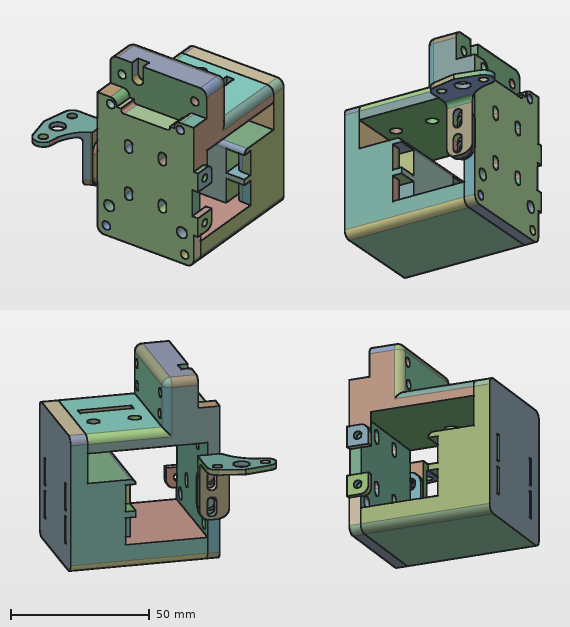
import cadquery as cq
import math


OVERALL_WIDTH = 65.7

WIDTH = 42.9
HALF_WIDTH = WIDTH / 2
DEPTH = 56.0
HEIGHT = 71.0
CORNER_R = 3.0

PLATE_THICKNESS = 4.6
RISER_DEPTH = 21.0
DECK_TOP = 52.1
DECK_UNDERSIDE = 45.45
COVER_DEPTH = 49.6
STEP_DEPTH = 8.05
LEDGE_Z = 59.1
LEDGE_HALF_GAP = 12.8
SHELF_Z = 55.9
SHELF_HALF_GAP = 10.9
TROUGH_Z = 54.15
TROUGH_R = 1.25

SCREW_D = 3.5
INSERT_D = 4.6
RISER_HOLE = (16.2, 64.45)
LEDGE_HOLE = (15.5, 56.1)
ACCESS_HOLE = (16.2, 12.9)
FOOT_HOLE = (17.5, 4.1)
PLATE_SLOT_X = 7.5
PLATE_SLOT_ZS = (21.05, 41.0)
PLATE_SLOT_LENGTH = 5.4
PLATE_SLOT_WIDTH = 3.4

NOTCH_X = -9.3
NOTCH_WIDTH = 5.0
NOTCH_BOTTOM = 62.55
NOTCH_DEPTH = 3.7

DECK_HOLE_X = -6.5
DECK_HOLE_YS = (27.85, 43.3)
DECK_SLOT_X = 5.0
DECK_SLOT_WIDTH = 3.2
DECK_SLOT_FRONT = 25.6
DECK_SLOT_BACK = 45.7
DECK_SLOT_DEPTH = 4.0

SIDE_REACH = 2.0
BOSS_FACE_X = -HALF_WIDTH - SIDE_REACH
TAB_FACE_X = HALF_WIDTH + SIDE_REACH
BOSS_Y = 4.3
BOSS_R = 4.45
BOSS_Z = 27.5
SCREW_PITCH = 10.0
BRACKET_SCREWS = [(BOSS_Y, BOSS_Z - SCREW_PITCH / 2), (BOSS_Y, BOSS_Z + SCREW_PITCH / 2)]
TAB_DEPTH = 8.55
TAB_HEIGHT = 7.9
TAB_GAP = 11.0
TAB_MID_Z = 27.0
TAB_HOLE_D = 3.0
RIB_THICKNESS = 0.65
RIB_INNER_X = HALF_WIDTH - RIB_THICKNESS
TAB_GAP_BOTTOM = TAB_MID_Z - TAB_GAP / 2
TAB_GAP_TOP = TAB_MID_Z + TAB_GAP / 2

FLOOR_TOP = 9.05
BLOCK_FRONT = 31.5
BLOCK_TOP = 34.0
BLOCK_EDGE_R = 2.0
POCKET_BACK = 35.4
POCKET_INNER_X = 13.3
BELT_SLOT_OUTER_X = 14.75
POCKET_SPANS = ((FLOOR_TOP, 19.4), (21.8, 32.0))

FLANGE_TOP = 41.5
FLANGE_THICKNESS = 2.0
FOOT_THICKNESS = 3.0
FOOT_BOTTOM = 17.55
FOOT_CORNER_R = 3.7
BEND_R = 2.0
EAR_R = 4.0
EAR_X = -36.2
EAR_MID_Y = -4.1
EAR_PITCH = 9.0
CENTRE_HOLE_D = 6.0
TIP_X = TAB_FACE_X - OVERALL_WIDTH
SLOT_LENGTH = 7.4

HOLLOW_EAR_END = (-32.4, -14.6)
HOLLOW_START = (-31.65, -10.4)
HOLLOW_MIDDLE = (-28.7, -4.7)
HOLLOW_END = (-24.25, -0.6)
HOLLOW_CORNER_Y = -0.3


def box(x0, x1, y0, y1, z0, z1):
    """Box between two opposite corners."""
    return cq.Workplane("XY").box(x1 - x0, y1 - y0, z1 - z0, centered=False).translate((x0, y0, z0))


def y_cylinders(points, diameter, y0, y1):
    """Cylinders along Y at (x, z) points, from y0 to y1."""
    plane = cq.Workplane("XZ", origin=(0, y0, 0))
    return plane.pushPoints(points).circle(diameter / 2).extrude(y0 - y1)


def x_cylinders(points, diameter, x0, x1):
    """Cylinders along X at (y, z) points, from x0 to x1."""
    return cq.Workplane("YZ", origin=(x0, 0, 0)).pushPoints(points).circle(diameter / 2).extrude(x1 - x0)


def mirrored_pair(point):
    """An (x, z) point and its mirror image across the middle of the housing."""
    x, z = point
    return [(-x, z), (x, z)]


def step_cut():
    """Material removed in front of the riser: two ledges, two small shelves and a trough between them."""
    bulge = CORNER_R * (1 - math.sqrt(0.5))
    dip = TROUGH_R * (1 - math.sqrt(0.5))
    outline = (
        cq.Workplane("XZ")
        .moveTo(0, HEIGHT)
        .lineTo(HALF_WIDTH, HEIGHT)
        .lineTo(HALF_WIDTH, LEDGE_Z)
        .lineTo(LEDGE_HALF_GAP + CORNER_R, LEDGE_Z)
        .threePointArc(
            (LEDGE_HALF_GAP + bulge, LEDGE_Z - bulge),
            (LEDGE_HALF_GAP, LEDGE_Z - CORNER_R),
        )
        .lineTo(LEDGE_HALF_GAP, SHELF_Z)
        .lineTo(SHELF_HALF_GAP, SHELF_Z)
        .lineTo(SHELF_HALF_GAP, TROUGH_Z + TROUGH_R)
        .threePointArc(
            (SHELF_HALF_GAP - dip, TROUGH_Z + dip),
            (SHELF_HALF_GAP - TROUGH_R, TROUGH_Z),
        )
        .lineTo(0, TROUGH_Z)
        .close()
    )
    half = outline.extrude(-STEP_DEPTH)
    return half.union(half.mirror("YZ"))


def cable_notch():
    """Round-bottomed notch in the riser's front face, open at the top."""
    radius = NOTCH_WIDTH / 2
    centre_z = NOTCH_BOTTOM + radius
    back = STEP_DEPTH + NOTCH_DEPTH
    channel = box(NOTCH_X - radius, NOTCH_X + radius, STEP_DEPTH, back, centre_z, HEIGHT)
    return channel.union(y_cylinders([(NOTCH_X, centre_z)], NOTCH_WIDTH, STEP_DEPTH, back))


def side_boss():
    """Obround boss on the -X side that carries the bracket, with two insert holes."""
    boss = (
        cq.Workplane("YZ", origin=(-HALF_WIDTH, 0, 0))
        .center(BOSS_Y, BOSS_Z)
        .slot2D(SCREW_PITCH + 2 * BOSS_R, 2 * BOSS_R, 90)
        .extrude(-SIDE_REACH)
    )
    return boss.cut(x_cylinders(BRACKET_SCREWS, INSERT_D, BOSS_FACE_X, -HALF_WIDTH))


def side_tabs():
    """Two tabs on the +X side, on a thin rib that hangs from the deck, without their holes."""
    low = box(RIB_INNER_X, TAB_FACE_X, 0, TAB_DEPTH, TAB_GAP_BOTTOM - TAB_HEIGHT, TAB_GAP_BOTTOM)
    low = low.edges("|X and >Y and <Z").fillet(CORNER_R)
    high = box(RIB_INNER_X, TAB_FACE_X, 0, TAB_DEPTH, TAB_GAP_TOP, TAB_GAP_TOP + TAB_HEIGHT)
    high = high.edges("|X and >Y and >Z").fillet(CORNER_R)
    rib = box(RIB_INNER_X, HALF_WIDTH, 0, TAB_DEPTH, TAB_GAP_TOP, DECK_UNDERSIDE)
    return low.union(high).union(rib)


def side_tab_cuts():
    """Recess in the plate edge between the tabs, and the tab screw holes."""
    recess = box(RIB_INNER_X, HALF_WIDTH, 0, TAB_DEPTH, TAB_GAP_BOTTOM, TAB_GAP_TOP)
    hole_y = TAB_DEPTH / 2
    holes = [(hole_y, TAB_GAP_BOTTOM - TAB_HEIGHT / 2), (hole_y, TAB_GAP_TOP + TAB_HEIGHT / 2)]
    return recess.union(x_cylinders(holes, TAB_HOLE_D, RIB_INNER_X, TAB_FACE_X))


def make_cover():
    """Front plate, riser and deck in one piece."""
    riser = box(-HALF_WIDTH, HALF_WIDTH, 0, RISER_DEPTH, 0, HEIGHT)
    riser = riser.edges("|Y or >Y").fillet(CORNER_R)
    deck = box(-HALF_WIDTH, HALF_WIDTH, 0, COVER_DEPTH, DECK_UNDERSIDE, DECK_TOP)
    deck = deck.edges("|Y and >Z").fillet(CORNER_R)
    hollow = box(-HALF_WIDTH, HALF_WIDTH, PLATE_THICKNESS, COVER_DEPTH, 0, DECK_UNDERSIDE)
    cover = riser.union(deck).cut(hollow).cut(step_cut()).cut(cable_notch())

    screw_holes = mirrored_pair(RISER_HOLE) + mirrored_pair(LEDGE_HOLE) + mirrored_pair(FOOT_HOLE)
    cover = cover.cut(y_cylinders(screw_holes, SCREW_D, 0, RISER_DEPTH))
    cover = cover.cut(y_cylinders(mirrored_pair(ACCESS_HOLE), INSERT_D, 0, PLATE_THICKNESS))

    slot_centres = [(x, z) for x in (-PLATE_SLOT_X, PLATE_SLOT_X) for z in PLATE_SLOT_ZS]
    plate_slots = (
        cq.Workplane("XZ")
        .pushPoints(slot_centres)
        .slot2D(PLATE_SLOT_LENGTH, PLATE_SLOT_WIDTH, 90)
        .extrude(-PLATE_THICKNESS)
    )
    deck_holes = (
        cq.Workplane("XY", origin=(0, 0, DECK_UNDERSIDE))
        .pushPoints([(DECK_HOLE_X, y) for y in DECK_HOLE_YS])
        .circle(INSERT_D / 2)
        .extrude(DECK_TOP - DECK_UNDERSIDE)
    )
    half_slot = DECK_SLOT_WIDTH / 2
    deck_slot = box(
        DECK_SLOT_X - half_slot, DECK_SLOT_X + half_slot,
        DECK_SLOT_FRONT, DECK_SLOT_BACK,
        DECK_TOP - DECK_SLOT_DEPTH, DECK_TOP,
    )
    cover = cover.cut(plate_slots).cut(deck_holes).cut(deck_slot)
    return cover.union(side_boss()).union(side_tabs()).cut(side_tab_cuts())


def belt_pocket(bottom, top):
    """Corner pocket on the -X side of the block, with a belt slot running on through the back."""
    pocket = box(-HALF_WIDTH, -POCKET_INNER_X, BLOCK_FRONT, POCKET_BACK, bottom, top)
    belt_slot = box(-BELT_SLOT_OUTER_X, -POCKET_INNER_X, POCKET_BACK, DEPTH, bottom, top)
    cutter = pocket.union(belt_slot)
    lip = cq.selectors.NearestToPointSelector((-BELT_SLOT_OUTER_X, POCKET_BACK, (bottom + top) / 2))
    return cutter.edges("|Z").edges(lip).fillet(CORNER_R)


def make_base():
    """Floor, belt block and back wall in one piece."""
    profile = (
        cq.Workplane("YZ", origin=(-HALF_WIDTH, 0, 0))
        .moveTo(PLATE_THICKNESS, 0)
        .lineTo(DEPTH, 0)
        .lineTo(DEPTH, DECK_TOP)
        .lineTo(COVER_DEPTH, DECK_TOP)
        .lineTo(COVER_DEPTH, BLOCK_TOP)
        .lineTo(BLOCK_FRONT + BLOCK_EDGE_R, BLOCK_TOP)
        .radiusArc((BLOCK_FRONT, BLOCK_TOP - BLOCK_EDGE_R), -BLOCK_EDGE_R)
        .lineTo(BLOCK_FRONT, FLOOR_TOP)
        .lineTo(PLATE_THICKNESS, FLOOR_TOP)
        .close()
    )
    base = profile.extrude(WIDTH)
    envelope = box(-HALF_WIDTH, HALF_WIDTH, 0, DEPTH, 0, DECK_TOP).edges("|Y").fillet(CORNER_R)
    base = base.intersect(envelope)
    for bottom, top in POCKET_SPANS:
        pocket = belt_pocket(bottom, top)
        base = base.cut(pocket).cut(pocket.mirror("YZ"))
    return base


def bracket_outline():
    """Plan outline of the bracket: two round ears, a pointed tip and a hollowed front edge."""
    rear_ear_y = EAR_MID_Y + EAR_PITCH
    front_ear_y = EAR_MID_Y - EAR_PITCH
    ear_dx = EAR_X - TIP_X
    tip_angle = math.atan2(EAR_PITCH, ear_dx)
    touch = math.acos(EAR_R / math.hypot(ear_dx, EAR_PITCH))
    angle = math.pi - tip_angle + touch
    touch_x = EAR_X + EAR_R * math.cos(angle)
    touch_dy = EAR_R * math.sin(angle)
    mid_angle = (angle + math.pi * 3 / 2) / 2
    mid_x = EAR_X + EAR_R * math.cos(mid_angle)
    mid_dy = EAR_R * math.sin(mid_angle)
    return (
        cq.Workplane("XY")
        .moveTo(BOSS_FACE_X, rear_ear_y + EAR_R)
        .lineTo(EAR_X, rear_ear_y + EAR_R)
        .threePointArc((mid_x, rear_ear_y - mid_dy), (touch_x, rear_ear_y - touch_dy))
        .lineTo(TIP_X, EAR_MID_Y)
        .lineTo(touch_x, front_ear_y + touch_dy)
        .threePointArc((EAR_X, front_ear_y - EAR_R), HOLLOW_EAR_END)
        .lineTo(*HOLLOW_START)
        .threePointArc(HOLLOW_MIDDLE, HOLLOW_END)
        .lineTo(BOSS_FACE_X, HOLLOW_CORNER_Y)
        .close()
    )


def make_bracket():
    """Angle bracket: a flange cut to the plan outline and a slotted foot against the boss."""
    front_x = BOSS_FACE_X - FOOT_THICKNESS
    rear_y = EAR_MID_Y + EAR_PITCH + EAR_R
    front_y = EAR_MID_Y - EAR_PITCH - EAR_R
    underside = FLANGE_TOP - FLANGE_THICKNESS

    outline = bracket_outline().extrude(FLANGE_TOP)
    flange = bracket_outline().extrude(FLANGE_THICKNESS).translate((0, 0, underside))

    foot = outline.intersect(box(front_x, BOSS_FACE_X, front_y, rear_y, FOOT_BOTTOM, underside))
    foot = foot.faces("<Z").edges("not |Y").fillet(FOOT_CORNER_R)

    bend = (
        cq.Workplane("XZ", origin=(0, rear_y, 0))
        .moveTo(front_x, underside)
        .lineTo(front_x, underside - BEND_R)
        .radiusArc((front_x - BEND_R, underside), -BEND_R)
        .close()
        .extrude(rear_y - front_y)
        .intersect(outline)
    )
    bracket = flange.union(foot).union(bend)

    ear_holes = [(EAR_X, EAR_MID_Y + side * EAR_PITCH) for side in (-1, 1)]
    hole_plane = cq.Workplane("XY", origin=(0, 0, underside))
    bracket = bracket.cut(hole_plane.pushPoints(ear_holes).circle(SCREW_D / 2).extrude(FLANGE_THICKNESS))
    bracket = bracket.cut(
        hole_plane.center(EAR_X, EAR_MID_Y).circle(CENTRE_HOLE_D / 2).extrude(FLANGE_THICKNESS)
    )
    foot_slots = (
        cq.Workplane("YZ", origin=(BOSS_FACE_X, 0, 0))
        .pushPoints(BRACKET_SCREWS)
        .slot2D(SLOT_LENGTH, SCREW_D, 90)
        .extrude(-FOOT_THICKNESS)
    )
    return bracket.cut(foot_slots)


cover = make_cover()
base = make_base()
bracket = make_bracket()
result = cq.Compound.makeCompound([cover.val(), base.val(), bracket.val()])